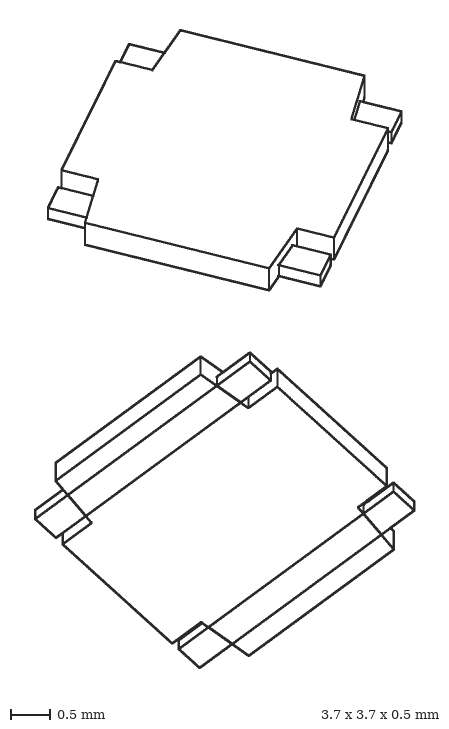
import cadquery as cq
import math

side = 3.7
plate_height = 0.4
arm_end_half_width = 1.25
arm_root_half_width = 1.35
notch_y = 1.05

total_height = 0.5
dome_radius = 1.5
dome_rise = total_height - plate_height

strip_width = 0.4
strip_thickness = 0.2
strip_bottom = 0.01
strip_y = 1.375


def terminal_strip(y):
    """One straight strip whose two ends stand in the corner notches."""
    return (
        cq.Workplane("XY")
        .box(side, strip_width, strip_thickness, centered=(True, True, False))
        .translate((0, y, strip_bottom))
    )


def corner_notch_plate():
    """Plate outline from one quarter, mirrored to all four corners."""
    half = side / 2
    quarter = [
        (half, notch_y),
        (arm_root_half_width, notch_y),
        (arm_end_half_width, half),
    ]
    left_top = [(-x, y) for x, y in reversed(quarter)]
    left_bottom = [(-x, -y) for x, y in quarter]
    right_bottom = [(x, -y) for x, y in reversed(quarter)]
    outline = quarter + left_top + left_bottom + right_bottom
    return cq.Workplane("XY").polyline(outline).close().extrude(plate_height)


def dome():
    """Shallow spherical cap on the plate's top face."""
    sphere_radius = (dome_radius**2 + dome_rise**2) / (2 * dome_rise)
    sphere_centre_z = total_height - sphere_radius
    mid_x = dome_radius / 2
    mid_z = sphere_centre_z + math.sqrt(sphere_radius**2 - mid_x**2)
    return (
        cq.Workplane("XZ")
        .moveTo(0, plate_height)
        .lineTo(dome_radius, plate_height)
        .threePointArc((mid_x, mid_z), (0, total_height))
        .close()
        .revolve(360, (0, 0), (0, 1))
    )


strips = [terminal_strip(sign * strip_y) for sign in (-1, 1)]

housing = corner_notch_plate().union(dome())
for strip in strips:
    housing = housing.cut(strip)

result = cq.Compound.makeCompound([housing.solids().val(), *[strip.val() for strip in strips]])